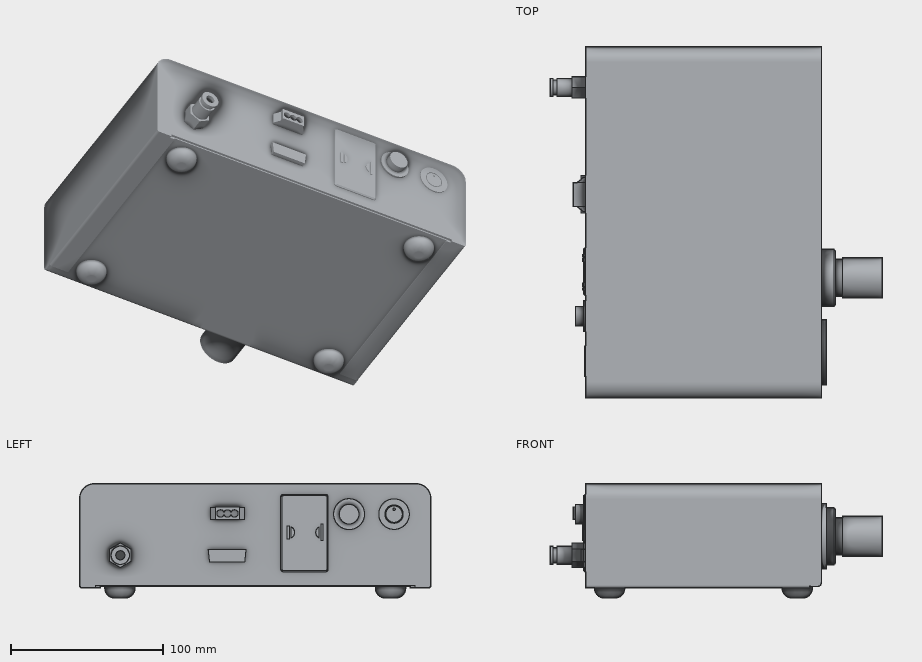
import cadquery as cq


LENGTH = 154.5
WIDTH = 230.5
HEIGHT = 68.5
TOP_RADIUS = 10.0
FLANGE_RADIUS = 1.5
FLANGE_LENGTH = 147.0
FLANGE_INNER_Y = 101.5
FLOOR_Z = 0.83
FRONT_EDGE_RADIUS = 2.8
REAR_PANEL_THICKNESS = 1.5
REAR_PANEL_HALF_WIDTH = 104.8
REAR_PANEL_Z = 1.5

FOOT_DIAMETER = 20.0
FOOT_RADIUS = 6.7
FOOT_DROP = 6.7
FOOT_X = (15.7, 138.7)
FOOT_Y = 88.7

KNOB_Y = -36.5
FRONT_AXIS_Z = 33.9
COLLAR_DIAMETER = 37.5
COLLAR_END = 9.2
COLLAR_CHAMFER = 1.2
NECK_DIAMETER = 24.5
NECK_END = 13.8
KNOB_DIAMETER = 26.5
KNOB_END = 39.9
PLATE_Y = -85.2
PLATE_DIAMETER = 43.0
PLATE_THICKNESS = 3.2

FITTING_Y = 88.5
FITTING_Z = 21.5
HEX_ACROSS_CORNERS = 16.1
HEX_END = 9.0
BARREL_DIAMETER = 12.0
BARREL_END = 19.0
GROOVE_DIAMETER = 10.0
GROOVE_END = 21.5
FITTING_END = 23.3
BORE_DIAMETER = 6.0
BORE_DEPTH = FITTING_END - HEX_END

SOCKET_Y = 18.2
SOCKET_Z = 49.0
SOCKET_HEIGHT = 8.3
EAR_WIDTH = 22.3
EAR_DROP = 0.5
EAR_DEPTH = 1.5
SOCKET_WIDTH = 15.7
SOCKET_DEPTH = 8.3
RAMP_DEPTH = 5.8
POLE_COUNT = 3
POLE_PITCH = 4.5
POLE_DIAMETER = 4.8
POLE_DEPTH = 3.7
POLE_DROP = 0.2

DATA_Y = 18.5
DATA_Z = 21.2
DATA_HEIGHT = 8.3
DATA_TOP_WIDTH = 24.9
DATA_BOTTOM_WIDTH = 23.0
DATA_DEPTH = 3.2

COVER_Y = -32.3
COVER_Z = 36.0
COVER_WIDTH = 31.0
COVER_HEIGHT = 50.7
COVER_THICKNESS = 1.4
COVER_CORNER_RADIUS = 1.5
COVER_CHAMFER = 0.8
LATCH_CENTER_Y = -32.7
LATCH_OFFSET = 11.0
LATCH_Z = 36.5
LATCH_HEIGHT = 2.0
LATCH_BAR_WIDTH = 1.4
LATCH_BAR_LENGTHS = {1: 8.5, -1: 10.8}
LATCH_GRIP_GAP = 1.2
LATCH_GRIP_LENGTH = 7.1
LATCH_GRIP_WIDTH = 2.3

ROUND_AXIS_Z = 48.4
BUTTON_Y = -61.5
BUTTON_FLANGE_DIAMETER = 20.3
BUTTON_FLANGE_THICKNESS = 1.4
BUTTON_DIAMETER = 13.0
BUTTON_END = 6.7
DIAL_Y = -91.0
DIAL_DIAMETER = 20.0
DIAL_THICKNESS = 0.8
DIAL_RECESS_DIAMETER = 12.0
DIAL_FACE_DIAMETER = 10.8
DIAL_RECESS_DEPTH = 0.5
DIAL_MARK_DIAMETER = 1.6
DIAL_MARK_OFFSET = 3.2


def cylinder_x(y, z, diameter, x_start, x_end):
    """Cylinder along X between two X positions."""
    plane = cq.Workplane("YZ", origin=(x_start, y, z))
    return plane.circle(diameter / 2).extrude(x_end - x_start)


def block_x(y, z, width, height, x_start, x_end):
    """Box centred on (y, z) between two X positions."""
    plane = cq.Workplane("YZ", origin=(x_start, y, z))
    return plane.rect(width, height).extrude(x_end - x_start)


def make_housing():
    flanged = block_x(0, HEIGHT / 2, WIDTH, HEIGHT, 0, FLANGE_LENGTH)
    flanged = flanged.edges("|X and <Z").fillet(FLANGE_RADIUS)
    floor_gap = block_x(0, FLOOR_Z / 2, 2 * FLANGE_INNER_Y, FLOOR_Z, 0, FLANGE_LENGTH)
    rear_notch = block_x(
        0, REAR_PANEL_Z / 2, 2 * REAR_PANEL_HALF_WIDTH, REAR_PANEL_Z, 0, REAR_PANEL_THICKNESS
    )
    flanged = flanged.cut(floor_gap).cut(rear_notch)

    front_height = HEIGHT - FLOOR_Z
    front = block_x(0, FLOOR_Z + front_height / 2, WIDTH, front_height, FLANGE_LENGTH, LENGTH)
    front = front.edges(">X and <Z").fillet(FRONT_EDGE_RADIUS)

    housing = flanged.union(front)
    return housing.edges("|X and >Z").fillet(TOP_RADIUS)


def make_feet():
    points = [(x, side * FOOT_Y) for x in FOOT_X for side in (-1, 1)]
    feet = cq.Workplane("XY", origin=(0, 0, -FOOT_DROP)).pushPoints(points)
    feet = feet.circle(FOOT_DIAMETER / 2).extrude(FOOT_DROP + FLOOR_Z)
    return feet.faces("<Z").edges().fillet(FOOT_RADIUS)


def make_knob():
    collar = cylinder_x(KNOB_Y, FRONT_AXIS_Z, COLLAR_DIAMETER, LENGTH, LENGTH + COLLAR_END)
    collar = collar.faces(">X").edges().chamfer(COLLAR_CHAMFER)
    neck = cylinder_x(
        KNOB_Y, FRONT_AXIS_Z, NECK_DIAMETER, LENGTH + COLLAR_END, LENGTH + NECK_END
    )
    knob = cylinder_x(KNOB_Y, FRONT_AXIS_Z, KNOB_DIAMETER, LENGTH + NECK_END, LENGTH + KNOB_END)
    return collar.union(neck).union(knob)


def make_front_plate():
    return cylinder_x(PLATE_Y, FRONT_AXIS_Z, PLATE_DIAMETER, LENGTH, LENGTH + PLATE_THICKNESS)


def make_fitting():
    fitting = (
        cq.Workplane("YZ", origin=(0, FITTING_Y, FITTING_Z))
        .transformed(rotate=(0, 0, 90))
        .polygon(6, HEX_ACROSS_CORNERS)
        .extrude(-HEX_END)
    )
    steps = (
        (BARREL_DIAMETER, HEX_END, BARREL_END),
        (GROOVE_DIAMETER, BARREL_END, GROOVE_END),
        (BARREL_DIAMETER, GROOVE_END, FITTING_END),
    )
    for diameter, start, end in steps:
        fitting = fitting.union(cylinder_x(FITTING_Y, FITTING_Z, diameter, -start, -end))
    bore = cylinder_x(
        FITTING_Y, FITTING_Z, BORE_DIAMETER, -FITTING_END, BORE_DEPTH - FITTING_END
    )
    return fitting.cut(bore)


def make_socket():
    core = block_x(SOCKET_Y, SOCKET_Z, SOCKET_WIDTH, SOCKET_HEIGHT, 0, -SOCKET_DEPTH)

    half_core = SOCKET_WIDTH / 2
    half_ears = EAR_WIDTH / 2
    ear_outline = [
        (0, -half_ears),
        (-EAR_DEPTH, -half_ears),
        (-RAMP_DEPTH, -half_core),
        (-RAMP_DEPTH, half_core),
        (-EAR_DEPTH, half_ears),
        (0, half_ears),
    ]
    ears = (
        cq.Workplane("XY", origin=(0, SOCKET_Y, SOCKET_Z - SOCKET_HEIGHT / 2))
        .polyline(ear_outline)
        .close()
        .extrude(SOCKET_HEIGHT - EAR_DROP)
    )
    socket = core.union(ears)

    for index in range(POLE_COUNT):
        y = SOCKET_Y + (index - (POLE_COUNT - 1) / 2) * POLE_PITCH
        pole = cylinder_x(
            y, SOCKET_Z - POLE_DROP, POLE_DIAMETER, -SOCKET_DEPTH, POLE_DEPTH - SOCKET_DEPTH
        )
        socket = socket.cut(pole)
    return socket


def make_data_connector():
    outline = [
        (-DATA_TOP_WIDTH / 2, DATA_HEIGHT / 2),
        (DATA_TOP_WIDTH / 2, DATA_HEIGHT / 2),
        (DATA_BOTTOM_WIDTH / 2, -DATA_HEIGHT / 2),
        (-DATA_BOTTOM_WIDTH / 2, -DATA_HEIGHT / 2),
    ]
    plane = cq.Workplane("YZ", origin=(0, DATA_Y, DATA_Z))
    return plane.polyline(outline).close().extrude(-DATA_DEPTH)


def make_latch(side):
    """Bar near one edge of the cover, with a rounded grip on its inner side."""
    bar_y = LATCH_CENTER_Y + side * LATCH_OFFSET
    bar = block_x(bar_y, LATCH_Z, LATCH_BAR_WIDTH, LATCH_BAR_LENGTHS[side], 0, -LATCH_HEIGHT)
    grip_y = bar_y - side * (LATCH_BAR_WIDTH / 2 + LATCH_GRIP_GAP)
    grip = (
        cq.Workplane("YZ", origin=(0, grip_y, LATCH_Z))
        .moveTo(0, -LATCH_GRIP_LENGTH / 2)
        .threePointArc((-side * LATCH_GRIP_WIDTH, 0), (0, LATCH_GRIP_LENGTH / 2))
        .close()
        .extrude(-LATCH_HEIGHT)
    )
    return bar.union(grip)


def make_power_cover():
    cover = block_x(COVER_Y, COVER_Z, COVER_WIDTH, COVER_HEIGHT, 0, -COVER_THICKNESS)
    cover = cover.edges("|X").fillet(COVER_CORNER_RADIUS)
    cover = cover.faces("<X").edges().chamfer(COVER_CHAMFER)
    for side in (-1, 1):
        cover = cover.union(make_latch(side))
    return cover


def make_button():
    flange = cylinder_x(
        BUTTON_Y, ROUND_AXIS_Z, BUTTON_FLANGE_DIAMETER, 0, -BUTTON_FLANGE_THICKNESS
    )
    return flange.union(cylinder_x(BUTTON_Y, ROUND_AXIS_Z, BUTTON_DIAMETER, 0, -BUTTON_END))


def make_dial():
    recess_x = DIAL_RECESS_DEPTH - DIAL_THICKNESS
    dial = cylinder_x(DIAL_Y, ROUND_AXIS_Z, DIAL_DIAMETER, 0, -DIAL_THICKNESS)
    recess = cylinder_x(DIAL_Y, ROUND_AXIS_Z, DIAL_RECESS_DIAMETER, recess_x, -DIAL_THICKNESS)
    face = cylinder_x(DIAL_Y, ROUND_AXIS_Z, DIAL_FACE_DIAMETER, recess_x, -DIAL_THICKNESS)
    mark = cylinder_x(
        DIAL_Y, ROUND_AXIS_Z + DIAL_MARK_OFFSET, DIAL_MARK_DIAMETER, recess_x, -DIAL_THICKNESS
    )
    return dial.cut(recess).union(face.cut(mark))


result = make_housing()
for feature in (
    make_feet(),
    make_knob(),
    make_front_plate(),
    make_fitting(),
    make_socket(),
    make_data_connector(),
    make_power_cover(),
    make_button(),
    make_dial(),
):
    result = result.union(feature)